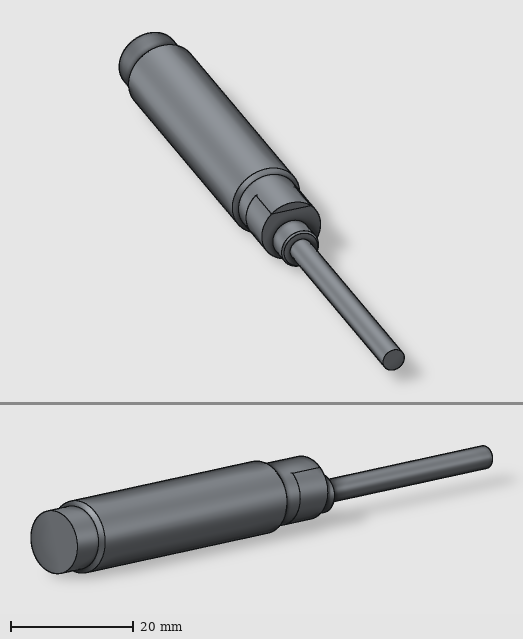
import cadquery as cq

total_length = 102.6
barrel_diameter = 12.0
end_diameter = 10.5
cable_diameter = 3.8
gland_diameter = 6.6

barrel_start = 5.0
barrel_end = 50.0
insert_start = 53.1
neck_end = 59.7
gland_end = 63.7

barrel_chamfer = (barrel_diameter - end_diameter) / 2
gland_chamfer = 0.3
insert_top = 3.9
cable_drop = 1.4


def rod(start, end, diameter, axis_height=0.0):
    """Round bar along X between two stations."""
    return (
        cq.Workplane("YZ", origin=(start, 0, axis_height))
        .circle(diameter / 2)
        .extrude(end - start)
    )


def rear_segment():
    """Part of the rear neck lying below the insert's flat top."""
    length = neck_end - insert_start
    above_flat = cq.Workplane("XY", origin=(insert_start, 0, insert_top)).box(
        length, end_diameter, end_diameter, centered=(False, True, False)
    )
    return rod(insert_start, neck_end, end_diameter).cut(above_flat)


def make_front_cap():
    return rod(0, barrel_start, end_diameter)


def make_housing():
    """Chamfered barrel and rear neck, notched for the insert."""
    barrel = rod(barrel_start, barrel_end, barrel_diameter).edges("%CIRCLE").chamfer(barrel_chamfer)
    neck = rod(barrel_end, neck_end, end_diameter)
    return barrel.union(neck).cut(rear_segment())


def make_rear_insert():
    """Flat-topped insert carrying the cable gland, whose end face the cable meets."""
    gland = rod(neck_end, gland_end, gland_diameter, -cable_drop)
    gland = gland.faces(">X").edges().chamfer(gland_chamfer)
    return rear_segment().union(gland)


def make_cable():
    return rod(gland_end, total_length, cable_diameter, -cable_drop)


front_cap = make_front_cap()
housing = make_housing()
rear_insert = make_rear_insert()
cable = make_cable()

result = cq.Compound.makeCompound(
    [front_cap.val(), housing.val(), rear_insert.val(), cable.val()]
)